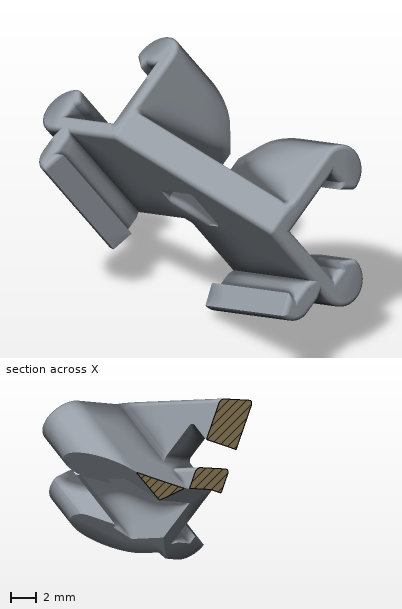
import cadquery as cq
TURN_X = 0.23
TURN_Y = -0.30
TURN_Z = -0.23
U_AXIS = cq.Vector(0.897, 0.1117, 0.4277)
W_AXIS = cq.Vector(0.279, -0.8935, -0.3518)
ORIGIN = cq.Vector(0.363, -1.324, -2.403)

wall = 1.465
gap = 6.05
arm_start = 0.515
arm_end = 10.45
edge_radius = 0.384

hook_radius = 2.086
hook_center = 8.249
hook_floor = wall + gap
catch_height = 0.45
catch_root = 2.644
catch_tip = 2.988
lip_shoulder = 7.99
shoulder_depth = 4.1

outer_hook_back = -7.315
outer_hook_front = -5.565
outer_hook_bend = 2.138
outer_hook_floor = 2.12
outer_hook_lip = -4.82
outer_hook_tip = (-5.571, 3.848)
outer_hook_mid = (-6.85, 3.265)
neck_back = -7.15
neck_front = -5.79
neck_height = 0.6

web_thickness = 2.95
window_edge = 3.965
window_slant = 2.875
window_corner_radius = 0.37

trim_sum = -6.16
trim_size = 40.0

TOLERANCE = 1e-3


def near(value, target):
    return abs(value - target) < TOLERANCE


def along_arm(profile):
    """Extrude a U-W section over the length of the arm that runs along V."""
    return profile.extrude(arm_start - arm_end).translate((0, arm_start, 0))


def arm_profile():
    """L-shaped section with two hooks facing each other."""
    bulge = hook_center + hook_radius
    width = 2 * hook_radius
    tip = hook_floor - catch_height
    return (
        cq.Workplane("XZ")
        .moveTo(0, 0)
        .lineTo(0, -hook_center)
        .threePointArc((-hook_radius, -bulge), (-width, -hook_center))
        .lineTo(-shoulder_depth, -lip_shoulder)
        .lineTo(-catch_tip, -tip)
        .lineTo(-catch_root, -hook_floor)
        .lineTo(-wall, -hook_floor)
        .lineTo(-wall, -wall)
        .lineTo(-hook_floor, -wall)
        .lineTo(-hook_floor, -catch_root)
        .lineTo(-tip, -catch_tip)
        .lineTo(-lip_shoulder, -shoulder_depth)
        .lineTo(-hook_center, -width)
        .threePointArc((-bulge, -hook_radius), (-hook_center, 0))
        .close()
    )


def outer_hook_profile():
    """Hook with a narrowed neck, rooted in the middle of the plate."""
    root = -wall / 2
    return (
        cq.Workplane("XZ")
        .moveTo(neck_back, root)
        .lineTo(neck_back, 0)
        .lineTo(outer_hook_back, neck_height)
        .lineTo(outer_hook_back, outer_hook_bend)
        .threePointArc(outer_hook_mid, outer_hook_tip)
        .lineTo(outer_hook_lip, outer_hook_floor)
        .lineTo(outer_hook_front, outer_hook_floor)
        .lineTo(outer_hook_front, neck_height)
        .lineTo(neck_front, 0)
        .lineTo(neck_front, root)
        .close()
    )


def trim_tool():
    """Half space below the trimming plane."""
    offset = trim_sum / 3
    plane = cq.Plane(origin=(offset, offset, offset), xDir=(1, -1, 0), normal=(-1, -1, -1))
    return cq.Workplane(plane).rect(trim_size, trim_size).extrude(trim_size)


def arm():
    body = along_arm(arm_profile()).union(along_arm(outer_hook_profile()))
    return body.cut(trim_tool())


def mirrored(body):
    """Swap U and V."""
    return body.mirror("XZ").rotate((0, 0, 0), (0, 0, 1), 90)


def web_prism(points):
    base = cq.Workplane("XY").workplane(offset=-web_thickness)
    return base.polyline(points).close().extrude(web_thickness)


def window():
    opening = web_prism([
        (0, window_slant), (window_slant, 0), (window_edge, 0),
        (window_edge, window_edge), (0, window_edge),
    ])
    for u, v in ((0, window_edge), (window_edge, window_edge), (window_edge, 0)):
        corner = cq.selectors.NearestToPointSelector((u, v, -web_thickness / 2))
        opening = opening.edges(corner).fillet(window_corner_radius)
    return opening


def web():
    """Corner plate that joins both arms, lapped into their walls."""
    lap = wall / 2
    outline = [
        (-lap, arm_start + lap), (arm_start + lap, -lap), (arm_end - lap, -lap),
        (arm_end, 0), (0, arm_end), (-lap, arm_end - lap),
    ]
    return web_prism(outline).cut(window())


def is_cap_edge(edge):
    """Edge lying in the end face of either arm."""
    center = edge.Center()
    box = edge.BoundingBox()
    on_u_cap = near(center.x, arm_end) and near(box.xlen, 0)
    on_v_cap = near(center.y, arm_end) and near(box.ylen, 0)
    return on_u_cap or on_v_cap


def is_slanted_web_edge(edge):
    """Edge of the web's long side or of the window's slanted side."""
    center = edge.Center()
    direction = edge.tangentAt(0.5)
    on_face = near(center.z, 0) or near(center.z, -web_thickness)
    slanted = near(direction.x, -direction.y) and edge.BoundingBox().xlen > edge_radius
    return on_face and slanted and center.x + center.y > window_slant - edge_radius


def is_web_root(edge):
    """Inside corner between the web's back face and a side wall, beyond the window."""
    center = edge.Center()
    box = edge.BoundingBox()
    along_v = near(center.x, 0) and near(box.xlen, 0) and center.y > window_edge
    along_u = near(center.y, 0) and near(box.ylen, 0) and center.x > window_edge
    return near(center.z, -web_thickness) and (along_u or along_v)


def is_rounded(edge):
    return is_cap_edge(edge) or is_slanted_web_edge(edge) or is_web_root(edge)


def clip():
    """Whole clip in the local frame, with its edges rounded."""
    first_arm = arm()
    body = first_arm.union(mirrored(first_arm)).union(web()).clean()
    solid = body.val().Solids()[0]
    return solid.fillet(edge_radius, [edge for edge in solid.Edges() if is_rounded(edge)])


def placed(solid):
    """Move the clip from the local frame to its final attitude."""
    solid = solid.moved(cq.Location(cq.Plane(origin=ORIGIN, xDir=U_AXIS, normal=W_AXIS)))
    turns = ((TURN_X, (1, 0, 0)), (TURN_Y, (0, 1, 0)), (TURN_Z, (0, 0, 1)))
    for angle, axis in turns:
        solid = solid.rotate(cq.Vector(0, 0, 0), cq.Vector(*axis), angle)
    return solid


result = placed(clip())